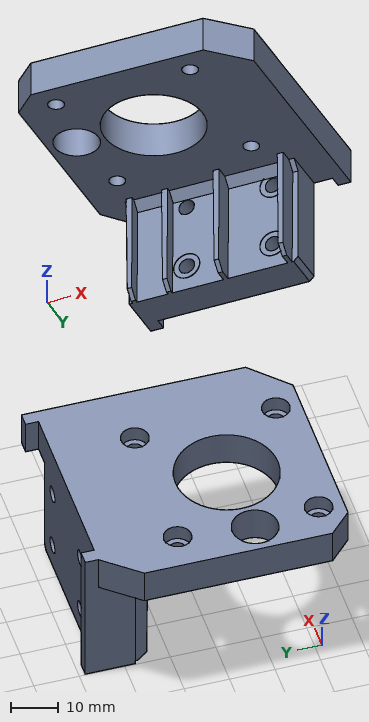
import cadquery as cq
import math

WIDTH = 53.0
LENGTH = 57.3
HEIGHT = 33.0

PLATE_THICKNESS = 8.15
FRONT_LEFT_CHAMFER = (5.1, 4.9)
FRONT_RIGHT_CHAMFER = 8.0

WALL_LEFT = 6.7
WALL_RIGHT = 45.8
WALL_THICKNESS = 8.15
WALL_CORNER_CHAMFER = 1.05
LIP_HEIGHT = 2.85
LIP_WIDTH = 3.0
WALL_BACK = LENGTH - LIP_HEIGHT
WALL_FRONT = WALL_BACK - WALL_THICKNESS
BRACE_LEG = 2.0

RIBS = ((8.0, 2.9), (16.2, 2.9), (29.05, 4.9), (43.9, 4.9))
RIB_WIDTH = 1.4
RIB_SIDE_NARROWING = 0.2
RIB_TAPER = math.degrees(math.atan(RIB_SIDE_NARROWING / (HEIGHT - PLATE_THICKNESS)))
RIB_ROOT = 1.7
RIB_END_CHAMFER = 2.0

SCREW_DIAMETER = 3.55
HEAD_DIAMETER = 6.0

MOTOR_CENTRE = (23.95, 21.0)
MOTOR_OPENING_DIAMETER = 22.5
MOTOR_SCREW_SPACING = 31.0
MOTOR_HEAD_DEPTH = 3.5
SIDE_HOLE_CENTRE = (6.6, 20.0)
SIDE_HOLE_DIAMETER = 10.0

WALL_SCREW_LEFT = 20.0
WALL_SCREW_TOP = -12.05
WALL_SCREW_SPACING_X = 19.95
WALL_SCREW_SPACING_Z = 14.95
WALL_HEAD_DEPTH = 0.1


def box(x_min, x_max, y_min, y_max, z_min, z_max):
    """Box given by its limits along each axis."""
    size = (x_max - x_min, y_max - y_min, z_max - z_min)
    return cq.Workplane("XY").box(*size, centered=False).translate((x_min, y_min, z_min))


def make_plate():
    """Horizontal plate with three cut corners and two rear tabs."""
    chamfer_x, chamfer_y = FRONT_LEFT_CHAMFER
    outline = [
        (chamfer_x, 0),
        (WIDTH - FRONT_RIGHT_CHAMFER, 0),
        (WIDTH, FRONT_RIGHT_CHAMFER),
        (WIDTH, LENGTH),
        (WIDTH - LIP_WIDTH, LENGTH),
        (WIDTH - LIP_WIDTH, WALL_BACK),
        (WALL_LEFT + LIP_WIDTH, WALL_BACK),
        (WALL_LEFT + LIP_WIDTH, LENGTH),
        (WALL_LEFT, LENGTH),
        (WALL_LEFT, WALL_BACK),
        (0, WALL_FRONT),
        (0, chamfer_y),
    ]
    return cq.Workplane("XY").polyline(outline).close().extrude(-PLATE_THICKNESS)


def make_wall():
    """Upright wall with a cut lower right corner and the rear lip."""
    wall = box(WALL_LEFT, WALL_RIGHT, WALL_FRONT, WALL_BACK, -HEIGHT, 0)
    wall = wall.edges(">X and <Z").chamfer(WALL_CORNER_CHAMFER)
    lip = box(WALL_LEFT, WALL_LEFT + LIP_WIDTH, WALL_FRONT, LENGTH, -HEIGHT, 0)
    return wall.union(lip)


def make_brace():
    """Triangular strip filling the corner between the wall front and the plate underside."""
    profile = [
        (WALL_FRONT, -PLATE_THICKNESS),
        (WALL_FRONT - BRACE_LEG, -PLATE_THICKNESS),
        (WALL_FRONT, -PLATE_THICKNESS - BRACE_LEG),
    ]
    strip = cq.Workplane("YZ").polyline(profile).close().extrude(WALL_RIGHT - WALL_LEFT)
    return strip.translate((WALL_LEFT, 0, 0))


def make_rib(centre_x, rib_height):
    """Rib narrowing downwards from the plate, with a sloped lower end."""
    depth = rib_height + RIB_ROOT
    rib = (
        cq.Workplane("XY", origin=(centre_x, WALL_FRONT + RIB_ROOT - depth / 2, -PLATE_THICKNESS))
        .rect(RIB_WIDTH, depth)
        .extrude(PLATE_THICKNESS - HEIGHT, taper=RIB_TAPER)
    )
    return rib.faces("<Z").edges("<Y").chamfer(RIB_END_CHAMFER)


def wall_cylinder(x, z, diameter, depth):
    """Cylinder running into the wall from its front face."""
    plane = cq.Workplane("XZ", origin=(x, WALL_FRONT, z))
    return plane.circle(diameter / 2).extrude(-depth)


def cut_wall_screws(body):
    """Four through holes, three of them with a shallow seat for the screw head."""
    for column in range(2):
        for row in range(2):
            x = WALL_SCREW_LEFT + column * WALL_SCREW_SPACING_X
            z = WALL_SCREW_TOP - row * WALL_SCREW_SPACING_Z
            body = body.cut(wall_cylinder(x, z, SCREW_DIAMETER, WALL_THICKNESS))
            if (column, row) != (0, 0):
                body = body.cut(wall_cylinder(x, z, HEAD_DIAMETER, WALL_HEAD_DEPTH))
    return body


def plate_cylinder(centre, diameter, depth):
    """Cylinder running down from the plate top."""
    return cq.Workplane("XY", origin=centre).circle(diameter / 2).extrude(-depth)


def cut_plate_holes(body):
    """Motor opening, side hole and four counterbored motor screw holes."""
    body = body.cut(plate_cylinder(MOTOR_CENTRE, MOTOR_OPENING_DIAMETER, PLATE_THICKNESS))
    body = body.cut(plate_cylinder(SIDE_HOLE_CENTRE, SIDE_HOLE_DIAMETER, PLATE_THICKNESS))
    for side_x in (-1, 1):
        for side_y in (-1, 1):
            centre = (
                MOTOR_CENTRE[0] + side_x * MOTOR_SCREW_SPACING / 2,
                MOTOR_CENTRE[1] + side_y * MOTOR_SCREW_SPACING / 2,
            )
            body = body.cut(plate_cylinder(centre, SCREW_DIAMETER, PLATE_THICKNESS))
            body = body.cut(plate_cylinder(centre, HEAD_DIAMETER, MOTOR_HEAD_DEPTH))
    return body


bracket = cut_wall_screws(make_plate().union(make_wall()))
bracket = bracket.union(make_brace())
for rib_x, height_above_wall in RIBS:
    bracket = bracket.union(make_rib(rib_x, height_above_wall))
result = cut_plate_holes(bracket)